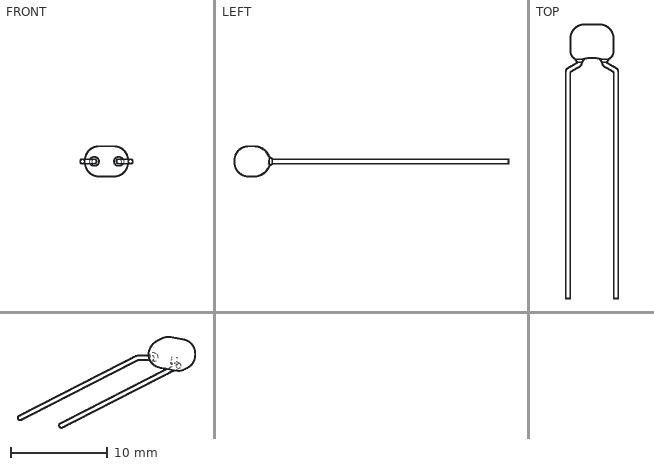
import cadquery as cq
import math


total_length = 28.5
lead_diameter = 0.5
lead_pitch = 5.002

body_width = 4.5
body_thickness = 3.15
body_middle_length = 3.5
body_flank_length = 4.33
edge_radius = 1.48
foot_radius = 0.9

neck_pitch = 2.56
neck_length = 0.97
neck_half_angle = 35.0
neck_end_y = 24.55

bend_radius = 0.28
bend_angle = 60.0

lead_radius = lead_diameter / 2
half_width = body_width / 2
flank_end_y = total_length - body_flank_length
middle_y = total_length - body_middle_length
neck_x = neck_pitch / 2
tip_x = lead_pitch / 2
neck_base_radius = lead_radius + neck_length * math.tan(math.radians(neck_half_angle))
sides = (-1, 1)


def make_rounded_block():
    """Block with a hollow lower side, rounded all over."""
    block = (
        cq.Workplane("XY", origin=(0, 0, -body_thickness / 2))
        .moveTo(-half_width, total_length)
        .lineTo(half_width, total_length)
        .lineTo(half_width, flank_end_y)
        .threePointArc((0, middle_y), (-half_width, flank_end_y))
        .close()
        .extrude(body_thickness)
    )
    block = block.edges("|Z and >Y").fillet(edge_radius)
    block = block.edges("|Z and <Y").fillet(foot_radius)
    return block.faces("|Z").edges().fillet(edge_radius)


def make_neck(side):
    """Cone that narrows from inside the block down to the lead diameter."""
    neck_end = cq.Vector(side * neck_x, neck_end_y, 0)
    cone = cq.Solid.makeCone(lead_radius, neck_base_radius, neck_length, neck_end, cq.Vector(0, 1, 0))
    return cq.Workplane(obj=cone)


def make_body():
    body = make_rounded_block()
    for side in sides:
        body = body.union(make_neck(side))
    return body


def bend_offset(angle):
    """Sideways and lengthwise travel along a bend that has turned by the given angle in degrees."""
    turn = math.radians(angle)
    return bend_radius * (1 - math.cos(turn)), bend_radius * math.sin(turn)


def make_lead(side):
    """Wire from the tip, through two opposite bends, to the end of the neck."""
    bend_x, bend_y = bend_offset(bend_angle)
    half_bend_x, half_bend_y = bend_offset(bend_angle / 2)
    slant_x = tip_x - neck_x - 2 * bend_x
    slant_y = slant_x / math.tan(math.radians(bend_angle))
    knee_y = neck_end_y - 2 * bend_y - slant_y

    def point(x, y):
        return side * x, y

    path = (
        cq.Workplane("XY")
        .moveTo(*point(tip_x, 0))
        .lineTo(*point(tip_x, knee_y))
        .threePointArc(
            point(tip_x - half_bend_x, knee_y + half_bend_y),
            point(tip_x - bend_x, knee_y + bend_y),
        )
        .lineTo(*point(neck_x + bend_x, neck_end_y - bend_y))
        .threePointArc(
            point(neck_x + half_bend_x, neck_end_y - half_bend_y),
            point(neck_x, neck_end_y),
        )
    )
    return cq.Workplane("XZ", origin=(side * tip_x, 0, 0)).circle(lead_radius).sweep(path)


body = make_body()
leads = [make_lead(side) for side in sides]
result = cq.Compound.makeCompound([body.val(), *[lead.val() for lead in leads]])